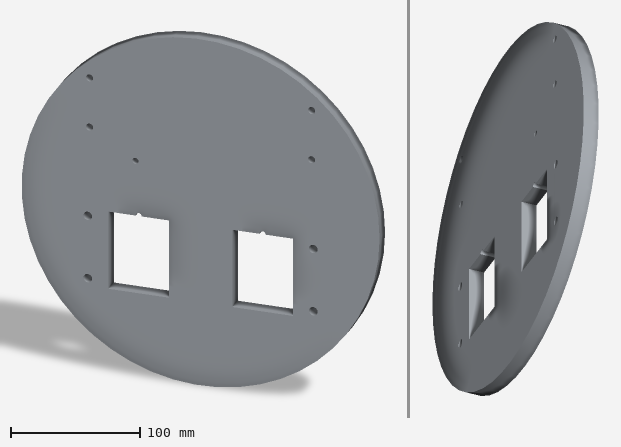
import cadquery as cq

plate_diameter = 293.5
plate_thickness = 12.5

upper_hole_diameter = 6
upper_hole_x = 91
upper_hole_heights = (100.0, 58.5)
lower_hole_diameter = 7.0
lower_hole_x = 92.5
lower_hole_heights = (-17.0, -69.8)

small_hole_diameter = 5.0
small_hole_x = -53.5
small_hole_z = 35.5

window_width = 49.5
window_height = 65.5
window_x = 50.8
window_top = -11.0
window_z = window_top - window_height / 2
notch_diameter = small_hole_diameter


def face_plane():
    """Workplane on the rear face of the plate, extruding towards -Y."""
    return cq.Workplane("XZ", origin=(0, plate_thickness / 2, 0))


def cylinders(points, diameter):
    """Full-thickness cylinders at the given (x, z) points."""
    return face_plane().pushPoints(points).circle(diameter / 2).extrude(plate_thickness)


def mirrored_points(x, heights):
    """Points at each height on both sides of the centre line."""
    return [(side * x, z) for side in (-1, 1) for z in heights]


def windows():
    """Both rectangular openings through the plate."""
    centres = mirrored_points(window_x, (window_z,))
    outline = face_plane().pushPoints(centres).rect(window_width, window_height)
    return outline.extrude(plate_thickness)


result = cylinders([(0, 0)], plate_diameter)
result = result.cut(cylinders(mirrored_points(upper_hole_x, upper_hole_heights), upper_hole_diameter))
result = result.cut(cylinders(mirrored_points(lower_hole_x, lower_hole_heights), lower_hole_diameter))
result = result.cut(cylinders([(small_hole_x, small_hole_z)], small_hole_diameter))
result = result.cut(windows())
result = result.cut(cylinders(mirrored_points(window_x, (window_top,)), notch_diameter))